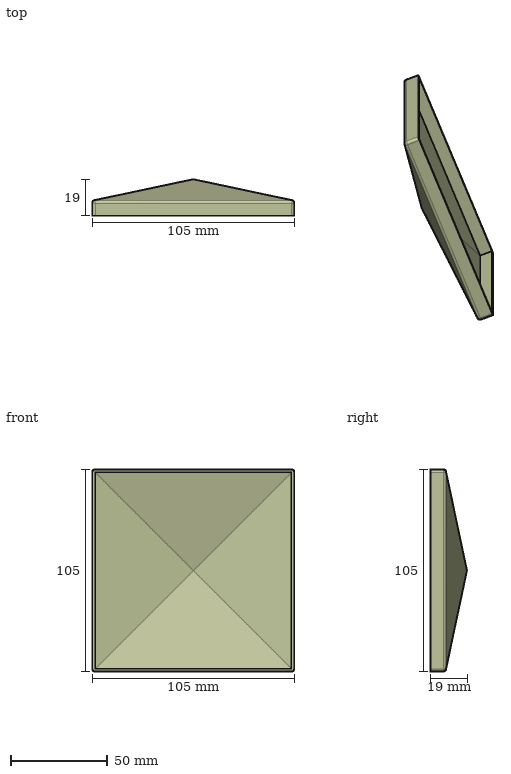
import cadquery as cq

side = 105.0
height = 19.0
eave_height = 7.9
wall = 1.6
roof_thickness = 1.6
edge_radius = 1.6


def square_with_pyramid(width, wall_height, roof_rise):
    """Square block standing on the plane Y = 0 with a pyramid roof towards +Y."""
    half = width / 2
    profile = [
        (-half, 0),
        (half, 0),
        (half, wall_height),
        (0, wall_height + roof_rise),
        (-half, wall_height),
    ]
    along_z = cq.Workplane("XY").polyline(profile).close().extrude(half, both=True)
    along_x = along_z.rotate((0, 0, 0), (0, 1, 0), 90)
    return along_z.intersect(along_x)


roof_rise = height - eave_height
body = square_with_pyramid(side, eave_height, roof_rise)
corner_edges = body.edges("|Y")
eave_edges = body.edges("|X or |Z").edges(">Y")
body = corner_edges.add(eave_edges).fillet(edge_radius)

roof_slope = roof_rise / (side / 2)
hollow_width = side - 2 * wall
hollow_rise = roof_slope * hollow_width / 2
hollow_wall_height = height - roof_thickness - hollow_rise
hollow = square_with_pyramid(hollow_width, hollow_wall_height, hollow_rise)

result = body.cut(hollow)